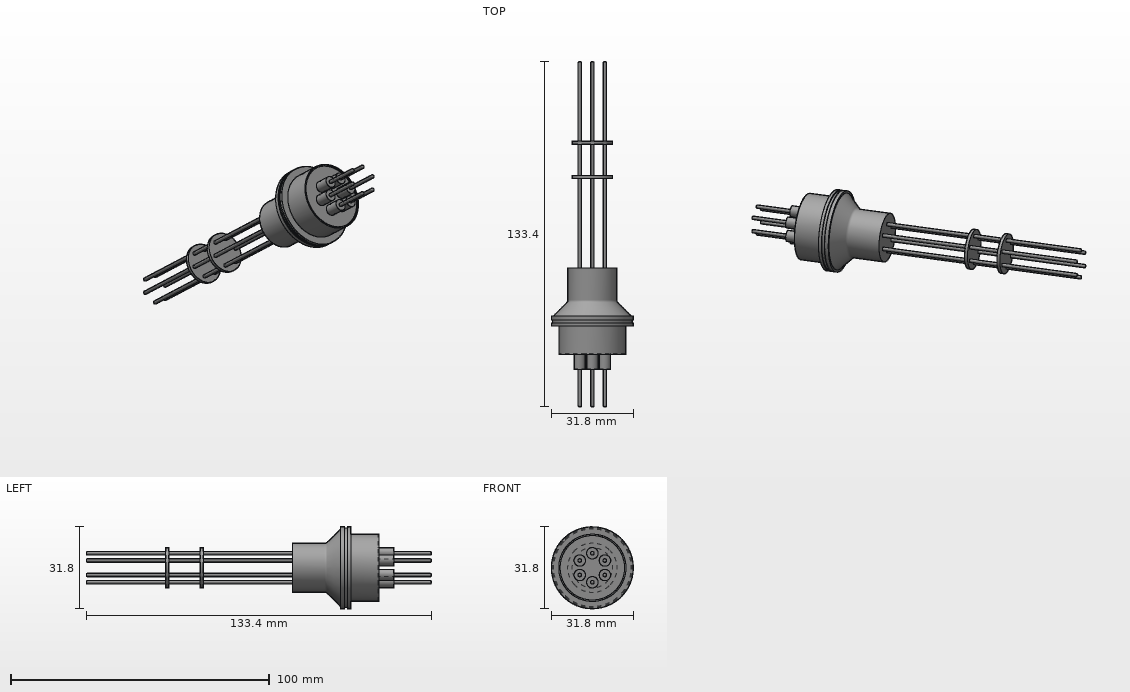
import cadquery as cq
import math

overall_length = 133.35
collar_front = 14.5
body_front = 20.2
flange_front = 31.15
flange_back = 35.15
tube_back = 53.7
spacer_fronts = (88.15, 101.45)
spacer_thickness = 1.25

flange_radius = 31.75 / 2
body_radius = 13.0
tube_radius = 19.05 / 2
cone_base_radius = 15.0
cone_angle = math.radians(45)
cone_length = (cone_base_radius - tube_radius) / math.tan(cone_angle)
cone_fillet = 1.3
rim_wall = 0.55
recess_depth = 0.5
recess_floor = body_front + recess_depth

front_lip = 1.2
groove_front = flange_front + front_lip
groove_width = 1.2
groove_depth = 0.45

pin_count = 6
pin_circle_radius = 5.6
pin_radius = 0.7
pin_tip_fillet = 0.5
collar_radius = 2.2
spacer_radius = 7.8


def rod(radius, front, back, x=0, z=0):
    """Solid cylinder running along +Y from front to back."""
    return cq.Workplane("XZ", origin=(x, front, z)).circle(radius).extrude(front - back)


def make_housing():
    """Revolved body, grooved flange, cone and tube, with a shallow recess in the front face."""
    groove_floor = flange_radius - groove_depth
    groove_back = groove_front + groove_width
    cone_back = flange_back + cone_length
    fillet_tangent = cone_fillet * math.tan(cone_angle / 2)
    fillet_rise = fillet_tangent * math.sin(cone_angle)
    fillet_run = fillet_tangent * math.cos(cone_angle)
    profile = (
        cq.Workplane("XY")
        .moveTo(0, recess_floor)
        .lineTo(body_radius - rim_wall, recess_floor)
        .lineTo(body_radius - rim_wall, body_front)
        .lineTo(body_radius, body_front)
        .lineTo(body_radius, flange_front)
        .lineTo(flange_radius, flange_front)
        .lineTo(flange_radius, groove_front)
        .lineTo(groove_floor, groove_front)
        .lineTo(groove_floor, groove_back)
        .lineTo(flange_radius, groove_back)
        .lineTo(flange_radius, flange_back)
        .lineTo(cone_base_radius, flange_back)
        .lineTo(tube_radius + fillet_rise, cone_back - fillet_run)
        .tangentArcPoint((tube_radius, cone_back + fillet_tangent), relative=False)
        .lineTo(tube_radius, tube_back)
        .lineTo(0, tube_back)
        .close()
    )
    return profile.revolve(360, (0, 0, 0), (0, 1, 0))


def make_pin(x, z):
    """Full-length pin with rounded tips."""
    return rod(pin_radius, 0, overall_length, x, z).faces("<Y or >Y").edges().fillet(pin_tip_fillet)


result = make_housing()

for spacer_front in spacer_fronts:
    result = result.union(rod(spacer_radius, spacer_front, spacer_front + spacer_thickness))

for index in range(pin_count):
    angle = math.radians(90 + index * 360 / pin_count)
    pin_x = pin_circle_radius * math.cos(angle)
    pin_z = pin_circle_radius * math.sin(angle)
    result = result.union(rod(collar_radius, collar_front, recess_floor, pin_x, pin_z))
    result = result.union(make_pin(pin_x, pin_z))